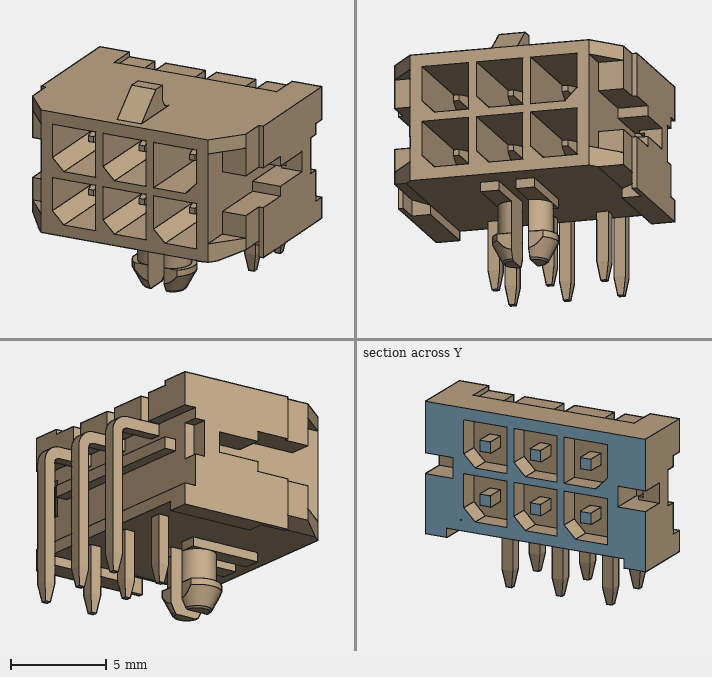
import cadquery as cq


BODY_WIDTH = 13.15
BODY_DEPTH = 9.92
BODY_HEIGHT = 7.39
BELLY_Z = 0.51
NOSE_WIDTH = 12.62
NOSE_DEPTH = 3.18
FACE_WIDTH = 9.86
CHAMFER_DEPTH = 1.68
RAIL_INNER_X = 5.29
RAIL_CORE_FRONT = 4.73

PITCH = 3.0
COLUMNS_X = (-PITCH, 0.0, PITCH)
ROW_MID_Z = 3.93
ROWS_Z = (ROW_MID_Z - PITCH / 2, ROW_MID_Z + PITCH / 2)
CELL_SIZE = 2.55
CELL_CORNER = 0.68
CELL_DEPTH = 7.23

NOSE_WINDOW_BOTTOM = 1.55
NOSE_WINDOW_TOP = 6.6
WIDE_GROOVE_HEIGHT = 2.24
WIDE_GROOVE_END = 5.14
NARROW_GROOVE_HEIGHT = 1.13
NARROW_GROOVE_END = 7.65
POCKET_END = 8.15
POCKET_SHALLOW_X = 5.34
POCKET_DEEP_X = 5.62
POCKET_CORE_HEIGHT = 0.79

BEVEL_OUTER_Z = 0.9

REAR_WALL_Y = 9.23
REAR_GAP_BOTTOM = 1.18
REAR_GAP_TOP = 5.54
RECESS_WIDTH = 9.63
RECESS_START = 8.14
RECESS_DEPTH = 0.26
REAR_RIB_HEIGHT = 0.65
NOTCH_Y = 8.64
NOTCH_HEIGHT = 2.0
NOTCH_DEPTH = 0.92

LATCH_WIDTH = 1.43
LATCH_HEIGHT = 1.38
LATCH_FRONT = 0.55
LATCH_CREST_FRONT = 2.21
LATCH_CREST_BACK = 2.95
LATCH_RADIUS = 0.79

PIN_SIZE = 0.65
PIN_TIP_SIZE = 0.32
PIN_TAPER = 0.99
PIN_START = 1.97
TAIL_START = 8.59
TAIL_BACK = 12.24
TAIL_TOP = 5.51
TAIL_BOTTOM = -3.18
BEND_RADIUS = 0.96

PEG_Y = 4.6
PEG_HALF_GAP = 0.47
PEG_RADIUS = 1.01
PEG_BASE_FRONT = 1.41
BARB_RADIUS = 1.29
BARB_TOP = -1.74
BARB_EDGE = -2.09
BARB_LEAD_END = -3.09
BARB_LEAD_RADIUS = 0.76
BARB_TIP_RADIUS = 0.66

SIDES = (-1, 1)
MARGIN = 0.13


def block(x, y, z):
    """Box between pairs of limits along X, Y and Z, given in either order."""
    x, y, z = sorted(x), sorted(y), sorted(z)
    size = (x[1] - x[0], y[1] - y[0], z[1] - z[0])
    return cq.Workplane("XY").box(*size, centered=False).translate((x[0], y[0], z[0]))


def around(middle, size):
    """Limits of a span of the given size about its middle."""
    return (middle - size / 2, middle + size / 2)


def make_housing():
    half_body, half_nose, half_face = BODY_WIDTH / 2, NOSE_WIDTH / 2, FACE_WIDTH / 2
    right_edge = [
        (half_face, 0),
        (half_nose, CHAMFER_DEPTH),
        (half_nose, NOSE_DEPTH),
        (half_body, NOSE_DEPTH),
        (half_body, BODY_DEPTH),
    ]
    left_edge = [(-x, y) for x, y in reversed(right_edge)]
    housing = (
        cq.Workplane("XY", origin=(0, 0, BELLY_Z))
        .polyline(right_edge + left_edge)
        .close()
        .extrude(BODY_HEIGHT - BELLY_Z)
    )
    for side in SIDES:
        core_x = (side * RAIL_INNER_X, side * half_body)
        skin_x = (side * half_nose, side * half_body)
        housing = housing.union(block(core_x, (RAIL_CORE_FRONT, BODY_DEPTH), (0, BELLY_Z)))
        housing = housing.union(block(skin_x, (NOSE_DEPTH, BODY_DEPTH), (0, BELLY_Z)))
    return housing


def make_cell(x, z, corner_side):
    """Contact cell with one lower corner cut off, on the left (-1) or right (1)."""
    half = CELL_SIZE / 2
    outline = [
        (corner_side * (half - CELL_CORNER), -half),
        (corner_side * half, CELL_CORNER - half),
        (corner_side * half, half),
        (-corner_side * half, half),
        (-corner_side * half, -half),
    ]
    return cq.Workplane("XZ", origin=(x, 0, z)).polyline(outline).close().extrude(-CELL_DEPTH)


def make_side_cuts(side):
    """Nose window, stepped groove, bevel and rear notch of one side wall."""
    floor_x = side * FACE_WIDTH / 2
    outer_x = side * (BODY_WIDTH / 2 + MARGIN)
    wall = (floor_x, outer_x)
    wide_z = around(ROW_MID_Z, WIDE_GROOVE_HEIGHT)
    narrow_z = around(ROW_MID_Z, NARROW_GROOVE_HEIGHT)
    cuts = block(wall, (-MARGIN, CHAMFER_DEPTH), (NOSE_WINDOW_BOTTOM, NOSE_WINDOW_TOP))
    cuts = cuts.union(block(wall, (0, WIDE_GROOVE_END), wide_z))
    cuts = cuts.union(block(wall, (0, NARROW_GROOVE_END), narrow_z))

    pocket_y = (NARROW_GROOVE_END - MARGIN, POCKET_END)
    cuts = cuts.union(block((floor_x, side * POCKET_SHALLOW_X), pocket_y, narrow_z))
    core_z = around(ROW_MID_Z, POCKET_CORE_HEIGHT)
    cuts = cuts.union(block((floor_x, side * POCKET_DEEP_X), pocket_y, core_z))

    bevel_outline = [
        (side * RAIL_INNER_X, BELLY_Z),
        (side * NOSE_WIDTH / 2, BEVEL_OUTER_Z),
        (side * NOSE_WIDTH / 2, BELLY_Z),
    ]
    cuts = cuts.union(cq.Workplane("XZ").polyline(bevel_outline).close().extrude(-RAIL_CORE_FRONT))

    notch_x = (side * (BODY_WIDTH / 2 - NOTCH_DEPTH), outer_x)
    notch_z = around(ROW_MID_Z, NOTCH_HEIGHT)
    return cuts.union(block(notch_x, (NOTCH_Y, BODY_DEPTH), notch_z))


def make_rear_cuts():
    """Set-back rear wall, top recess and the slots that let the upper pins in."""
    back_y = BODY_DEPTH + MARGIN
    top_z = BODY_HEIGHT + MARGIN
    full_x = around(0, BODY_WIDTH + 2 * MARGIN)
    recess_x = around(0, RECESS_WIDTH)
    cuts = block(full_x, (REAR_WALL_Y, back_y), (REAR_GAP_BOTTOM, REAR_GAP_TOP))
    cuts = cuts.union(block(recess_x, (RECESS_START, back_y), (BODY_HEIGHT - RECESS_DEPTH, top_z)))
    for x in COLUMNS_X:
        slot = block(around(x, PIN_SIZE), (TAIL_START, back_y), (TAIL_TOP - PIN_SIZE, top_z))
        cuts = cuts.union(slot)
    return cuts


def make_rear_rib():
    rib_z = around(ROW_MID_Z, REAR_RIB_HEIGHT)
    return block(around(0, RECESS_WIDTH), (REAR_WALL_Y, BODY_DEPTH), rib_z)


def make_latch():
    """Ramp on the top face with a hollow rounded foot behind it."""
    return (
        cq.Workplane("YZ", origin=(-LATCH_WIDTH / 2, 0, BODY_HEIGHT))
        .moveTo(LATCH_FRONT, 0)
        .lineTo(LATCH_CREST_FRONT, LATCH_HEIGHT)
        .lineTo(LATCH_CREST_BACK, LATCH_HEIGHT)
        .lineTo(LATCH_CREST_BACK, LATCH_RADIUS)
        .radiusArc((LATCH_CREST_BACK + LATCH_RADIUS, 0), -LATCH_RADIUS)
        .close()
        .extrude(LATCH_WIDTH)
    )


def make_tip(plane):
    """Pin point that tapers along the normal of the given plane."""
    return (
        cq.Workplane(plane)
        .rect(PIN_SIZE, PIN_SIZE)
        .workplane(offset=PIN_TAPER)
        .rect(PIN_TIP_SIZE, PIN_TIP_SIZE)
        .loft(ruled=True)
    )


def make_blade(x, z):
    """Pointed contact blade that stands on the floor of its cell."""
    shoulder_y = PIN_START + PIN_TAPER
    shank = block(around(x, PIN_SIZE), (shoulder_y, TAIL_START), around(z, PIN_SIZE))
    return shank.union(make_tip(cq.Plane.XZ(origin=(x, shoulder_y, z))))


def make_leg(x, y, top_z):
    """Pointed solder leg that runs down from top_z."""
    shoulder_z = TAIL_BOTTOM + PIN_TAPER
    shank = block(around(x, PIN_SIZE), around(y, PIN_SIZE), (shoulder_z, top_z))
    point_plane = cq.Plane(origin=(x, y, shoulder_z), xDir=(1, 0, 0), normal=(0, 0, -1))
    return shank.union(make_tip(point_plane))


def make_upper_tail(x):
    """Tail of an upper pin, bent down behind the housing."""
    elbow_y = TAIL_BACK - BEND_RADIUS
    elbow_z = TAIL_TOP - BEND_RADIUS
    inner_radius = BEND_RADIUS - PIN_SIZE
    arm = (
        cq.Workplane("YZ", origin=(x - PIN_SIZE / 2, 0, 0))
        .moveTo(TAIL_START, TAIL_TOP)
        .lineTo(elbow_y, TAIL_TOP)
        .radiusArc((TAIL_BACK, elbow_z), BEND_RADIUS)
        .lineTo(TAIL_BACK - PIN_SIZE, elbow_z)
        .radiusArc((elbow_y, TAIL_TOP - PIN_SIZE), -inner_radius)
        .lineTo(TAIL_START, TAIL_TOP - PIN_SIZE)
        .close()
        .extrude(PIN_SIZE)
    )
    return arm.union(make_leg(x, TAIL_BACK - PIN_SIZE / 2, elbow_z))


def make_peg_half(side):
    """Half-round prong of the split peg, with a barbed end and a base rib."""
    round_profile = [
        (0, 0),
        (PEG_RADIUS, 0),
        (PEG_RADIUS, BARB_TOP),
        (BARB_RADIUS, BARB_TOP),
        (BARB_RADIUS, BARB_EDGE),
        (BARB_LEAD_RADIUS, BARB_LEAD_END),
        (BARB_TIP_RADIUS, TAIL_BOTTOM),
        (0, TAIL_BOTTOM),
    ]
    prong = cq.Workplane("XZ").polyline(round_profile).close().revolve(360, (0, 0), (0, 1))
    half_envelope = block((0, side * BARB_RADIUS), around(0, 2 * PEG_RADIUS), (0, TAIL_BOTTOM))
    prong = prong.intersect(half_envelope).translate((side * PEG_HALF_GAP, PEG_Y, 0))
    base_x = (side * PEG_HALF_GAP, side * (PEG_HALF_GAP + PEG_RADIUS))
    return prong.union(block(base_x, (PEG_BASE_FRONT, PEG_Y + PEG_RADIUS), (0, BELLY_Z)))


result = make_housing().cut(make_rear_cuts())
for side in SIDES:
    result = result.cut(make_side_cuts(side))
    result = result.union(make_peg_half(side))
result = result.union(make_rear_rib()).union(make_latch())

lower_row_z, upper_row_z = ROWS_Z
for x in COLUMNS_X:
    for z in ROWS_Z:
        is_key_cell = x == COLUMNS_X[-1] and z == upper_row_z
        result = result.cut(make_cell(x, z, 1 if is_key_cell else -1))
        result = result.union(make_blade(x, z))
    result = result.union(make_upper_tail(x))
    result = result.union(make_leg(x, REAR_WALL_Y - PIN_SIZE / 2, lower_row_z))